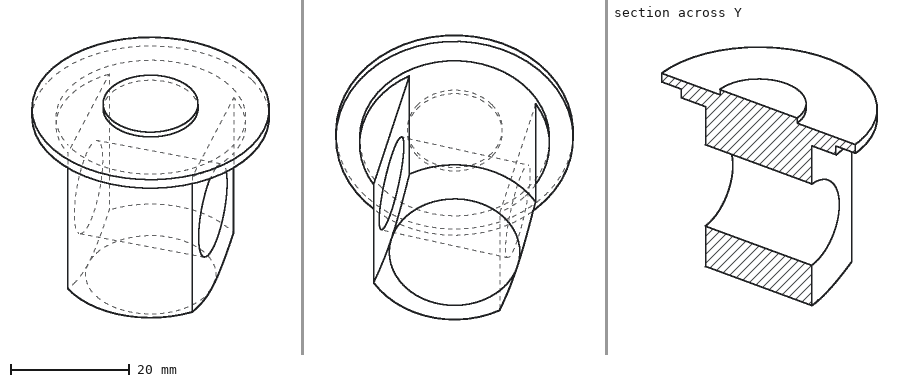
import cadquery as cq
import math

total_height = 36.0
boss_height = 1.0
flange_thickness = 1.8
collar_height = 1.7

flange_diameter = 40.0
body_diameter = 32.0
boss_diameter = 16.0
bore_diameter = 16.0
width_across_flats = 22.0

bore_center_z = 16.0
chamfer_angle = 30.0

flange_top_z = total_height - boss_height
flange_bottom_z = flange_top_z - flange_thickness
flat_top_z = flange_bottom_z - collar_height

body_radius = body_diameter / 2
chamfer_run = (body_diameter - width_across_flats) / 2
chamfer_rise = chamfer_run * math.tan(math.radians(chamfer_angle))


def disc(diameter, bottom_z, height):
    """Round disc on the Z axis."""
    return cq.Workplane("XY").workplane(offset=bottom_z).circle(diameter / 2).extrude(height)


def plug_body():
    """Round plug with a shallow conical chamfer around its bottom edge."""
    return (
        disc(body_diameter, 0, flange_bottom_z)
        .faces("<Z")
        .edges()
        .chamfer(chamfer_rise, chamfer_run)
    )


def flat_cutter(side):
    """Block that mills one flat, on the +X (side=1) or -X (side=-1) side."""
    center_x = side * (width_across_flats / 2 + body_radius / 2)
    return (
        cq.Workplane("XY")
        .center(center_x, 0)
        .rect(body_radius, body_diameter)
        .extrude(flat_top_z)
    )


def cross_bore():
    """Cylinder along X that passes through both flats."""
    return (
        cq.Workplane("YZ")
        .center(0, bore_center_z)
        .circle(bore_diameter / 2)
        .extrude(body_radius, both=True)
    )


body = plug_body()
for side in (-1, 1):
    body = body.cut(flat_cutter(side))
body = body.cut(cross_bore())

flange = disc(flange_diameter, flange_bottom_z, flange_thickness)
boss = disc(boss_diameter, flange_top_z, boss_height)

result = body.union(flange).union(boss)